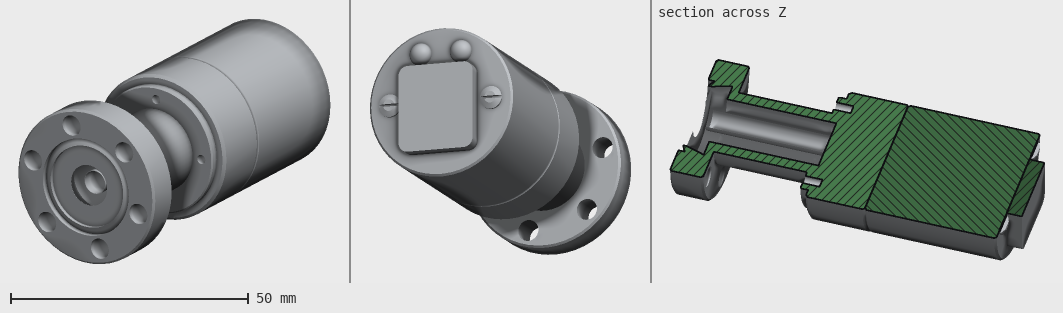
import cadquery as cq
import math

TOTAL_LENGTH = 74.8

FLANGE_DIAMETER = 34.0
FLANGE_THICKNESS = 7.3
FLANGE_CHAMFER = 0.45
TUBE_DIAMETER = 18.2
SHOULDER_DIAMETER = 28.0
SHOULDER_FRONT = 27.75
SHOULDER_CHAMFER = 0.3
CASE_DIAMETER = 32.0
CASE_CHAMFER = 0.45
COLLAR_FRONT = 29.5
COLLAR_CHAMFER = 0.6
JOINT_Y = 42.55

RECESS_DIAMETER = 21.4
RECESS_DEPTH = 1.35
KNIFE_TIP_DIAMETER = 18.0
KNIFE_TIP_DEPTH = 0.45

CHAMBER_REAR_DIAMETER = 20.8
CHAMBER_DEPTH = 5.45
PLATE_DEPTH = RECESS_DEPTH
PLATE_THICKNESS = 0.04
APERTURE_DIAMETER = 9.0
BORE_DIAMETER = 12.8

SENSOR_BORE_DIAMETER = 5.0
SENSOR_WALL = 0.1
SENSOR_DEPTH = 3.6

BOLT_HOLE_COUNT = 6
BOLT_HOLE_DIAMETER = 4.5
BOLT_CIRCLE_RADIUS = 13.55
FIRST_BOLT_ANGLE = 45.0

SHOULDER_HOLE_COUNT = 4
SHOULDER_HOLE_DIAMETER = 2.0
SHOULDER_HOLE_RADIUS = 11.2
SHOULDER_HOLE_DEPTH = 3.75

BARREL_REAR = 71.5
CONNECTOR_WIDTH = 16.5
CONNECTOR_HEIGHT = 18.55
CONNECTOR_CORNER_RADIUS = 2.0
CONNECTOR_CENTRE_Z = -1.7
LAMP_DIAMETER = 5.0
LAMP_HEIGHT = 2.0
LAMP_X = 4.5
LAMP_Z = 10.6
SCREW_X = 11.3
SCREW_DIAMETER = 4.85
SCREW_TOP_DIAMETER = 2.5
SCREW_RIM_HEIGHT = 0.45
SCREW_HEIGHT = 1.0
SCREW_SLOT_WIDTH = 0.5
SCREW_SLOT_DEPTH = 0.8


def turned(half_outline):
    """Solid of revolution about Y from (radius, y) points."""
    return cq.Workplane("XY").polyline(half_outline).close().revolve(360, (0, 0, 0), (0, 1, 0))


def rod(diameter, start_y, end_y, x=0.0, z=0.0):
    """Cylinder parallel to Y."""
    return cq.Workplane(
        cq.Solid.makeCylinder(diameter / 2, end_y - start_y, cq.Vector(x, start_y, z), cq.Vector(0, 1, 0))
    )


def chamfered_disc(diameter, start_y, end_y, start_chamfer, end_chamfer):
    """Disc on the Y axis with a 45 degree chamfer at each end; a chamfer of zero leaves a sharp edge."""
    radius = diameter / 2
    outline = [(0, start_y), (radius - start_chamfer, start_y)]
    if start_chamfer > 0:
        outline.append((radius, start_y + start_chamfer))
    if end_chamfer > 0:
        outline.append((radius, end_y - end_chamfer))
    outline += [(radius - end_chamfer, end_y), (0, end_y)]
    return turned(outline)


def ring_positions(count, radius, first_angle):
    """Evenly spaced (x, z) positions around the Y axis, angles in degrees from +X."""
    angles = [math.radians(first_angle + i * 360 / count) for i in range(count)]
    return [(radius * math.cos(angle), radius * math.sin(angle)) for angle in angles]


def seal_recess():
    """Cutter that leaves a sloped knife edge around the aperture plate."""
    return turned([
        (0, 0),
        (RECESS_DIAMETER / 2, 0),
        (RECESS_DIAMETER / 2, RECESS_DEPTH),
        (KNIFE_TIP_DIAMETER / 2, KNIFE_TIP_DEPTH),
        (KNIFE_TIP_DIAMETER / 2, PLATE_DEPTH),
        (0, PLATE_DEPTH),
    ])


def chamber():
    """Cutter for the chamber, which widens from the knife edge diameter to its floor."""
    plate_rear = PLATE_DEPTH + PLATE_THICKNESS
    return turned([
        (0, plate_rear),
        (KNIFE_TIP_DIAMETER / 2, plate_rear),
        (CHAMBER_REAR_DIAMETER / 2, CHAMBER_DEPTH),
        (0, CHAMBER_DEPTH),
    ])


def sensor_tube():
    """Thin-walled tube, open at the front, rising from the floor of the bore."""
    tube = rod(SENSOR_BORE_DIAMETER + 2 * SENSOR_WALL, SENSOR_DEPTH, COLLAR_FRONT)
    return tube.cut(rod(SENSOR_BORE_DIAMETER, SENSOR_DEPTH, COLLAR_FRONT))


def make_gauge_head():
    head = chamfered_disc(FLANGE_DIAMETER, 0, FLANGE_THICKNESS, FLANGE_CHAMFER, FLANGE_CHAMFER)
    head = head.union(rod(TUBE_DIAMETER, FLANGE_THICKNESS, SHOULDER_FRONT))
    head = head.union(chamfered_disc(SHOULDER_DIAMETER, SHOULDER_FRONT, COLLAR_FRONT, SHOULDER_CHAMFER, 0))
    head = head.union(chamfered_disc(CASE_DIAMETER, COLLAR_FRONT, JOINT_Y, COLLAR_CHAMFER, CASE_CHAMFER))

    head = head.cut(seal_recess())
    head = head.cut(chamber())
    head = head.cut(rod(APERTURE_DIAMETER, PLATE_DEPTH, CHAMBER_DEPTH))
    head = head.cut(rod(BORE_DIAMETER, CHAMBER_DEPTH, COLLAR_FRONT))
    head = head.union(sensor_tube())

    for x, z in ring_positions(BOLT_HOLE_COUNT, BOLT_CIRCLE_RADIUS, FIRST_BOLT_ANGLE):
        head = head.cut(rod(BOLT_HOLE_DIAMETER, 0, FLANGE_THICKNESS, x, z))
    for x, z in ring_positions(SHOULDER_HOLE_COUNT, SHOULDER_HOLE_RADIUS, 0):
        hole_end = SHOULDER_FRONT + SHOULDER_HOLE_DEPTH
        head = head.cut(rod(SHOULDER_HOLE_DIAMETER, SHOULDER_FRONT, hole_end, x, z))
    return head


def make_barrel():
    return chamfered_disc(CASE_DIAMETER, JOINT_Y, BARREL_REAR, CASE_CHAMFER, CASE_CHAMFER)


def make_connector():
    """Rounded block standing on the rear of the barrel."""
    length = TOTAL_LENGTH - BARREL_REAR
    block = cq.Workplane("XY").box(CONNECTOR_WIDTH, length, CONNECTOR_HEIGHT)
    block = block.edges("|Y").fillet(CONNECTOR_CORNER_RADIUS)
    return block.translate((0, BARREL_REAR + length / 2, CONNECTOR_CENTRE_Z))


def make_lamp(x):
    """Lamp dome: the part of a ball that stands proud of the barrel."""
    ball_centre_y = BARREL_REAR + LAMP_HEIGHT - LAMP_DIAMETER / 2
    ball = cq.Workplane("XY").sphere(LAMP_DIAMETER / 2).translate((x, ball_centre_y, LAMP_Z))
    return ball.intersect(rod(LAMP_DIAMETER, BARREL_REAR, TOTAL_LENGTH, x, LAMP_Z))


def make_screw(x):
    """Screw head with a short straight rim, a sloped top and a driver slot along X."""
    head = turned([
        (0, BARREL_REAR),
        (SCREW_DIAMETER / 2, BARREL_REAR),
        (SCREW_DIAMETER / 2, BARREL_REAR + SCREW_RIM_HEIGHT),
        (SCREW_TOP_DIAMETER / 2, BARREL_REAR + SCREW_HEIGHT),
        (0, BARREL_REAR + SCREW_HEIGHT),
    ])
    slot_centre_y = BARREL_REAR + SCREW_HEIGHT - SCREW_SLOT_DEPTH / 2
    slot = cq.Workplane("XY").box(SCREW_DIAMETER, SCREW_SLOT_DEPTH, SCREW_SLOT_WIDTH)
    head = head.cut(slot.translate((0, slot_centre_y, 0)))
    return head.translate((x, 0, 0))


gauge_head = make_gauge_head()
barrel = make_barrel()
connector = make_connector()
lamps = [make_lamp(side * LAMP_X) for side in (-1, 1)]
screws = [make_screw(side * SCREW_X) for side in (-1, 1)]

result = cq.Compound.makeCompound([
    gauge_head.val(),
    barrel.val(),
    connector.val(),
    *[lamp.val() for lamp in lamps],
    *[screw.val() for screw in screws],
])